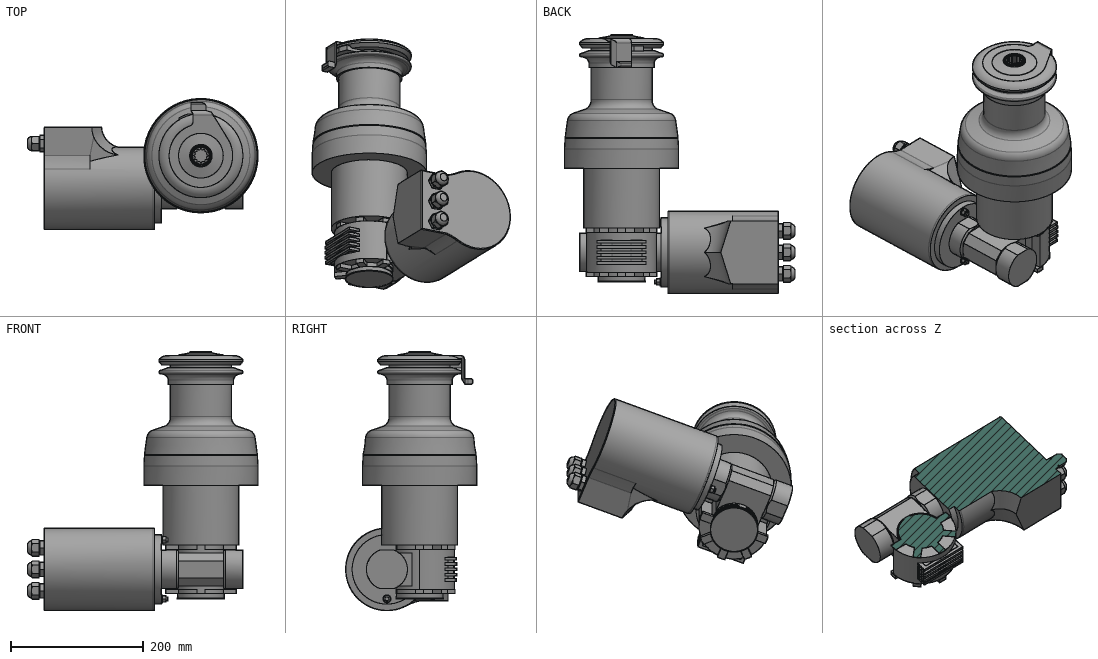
import cadquery as cq
import math


TOP_Z = 329.3
CAP_TOP_R = 31.72 / 2
CAP_RIM_R = 17.0
CAP_RIM_Z = 327.2
CAP_BASE_R = 33.8
CAP_STEP = 0.6
DISC_TOP_Z = 323.0
PLATE_TOP_Z = DISC_TOP_Z + 0.5
DISC_FLAT_R = 48.0
DISC_R = 127 / 2
DISC_BOTTOM_Z = 308.5
NECK_R = 93 / 2
FLANGE_EDGE_Z = 298.5
COLLAR_R = 49.5
COLLAR_BOTTOM_Z = 279.0
FLARE_TOP_Z = 231.0
FLARE_R = 53.5
FLARE_Z = 217.0
SHOULDER_R = 74.0
SHOULDER_Z = 210.0
BELL_R = 82.0
BELL_Z = 199.0
SKIRT_TOP_R = 85.5
SKIRT_TOP_Z = 173.5
SKIRT_R = 173 / 2
SKIRT_LOWER_Z = 156.5
SKIRT_BOTTOM_Z = 127.0
SEAM_WIDTH = 1.2
SEAM_DEPTH = 0.7
BARREL_R = 115 / 2
BARREL_BOTTOM_Z = 36.7

SOCKET_POINTS = 12
SOCKET_OUTER_R = 22 / 2
SOCKET_INNER_R = 17.5 / 2
SOCKET_DEPTH = 25.0
NOTCH_COUNT = 36
NOTCH_INNER_R = 12.5
NOTCH_WIDTH = 0.8
NOTCH_DEPTH = 1.8

ARM_LEFT_X = -12.0
ARM_RIGHT_X = 16.0
ARM_OUTER_Y = 68.2
ARM_THICKNESS = 5.0
ARM_BEND_R = 7.0
ARM_TANGENT_ANGLE = 31.4
ARM_ROOT_FILLET = 8.0
ARM_ROOT_X = ARM_LEFT_X - ARM_ROOT_FILLET
HOOK_CORNER_R = 7.0
HOOK_LEFT_X = -15.0
HOOK_RIGHT_X = 8.0
HOOK_TIP_Y = 80.3
HOOK_TOP_Z = 288.2
HOOK_BOTTOM_Z = 279.4
HOOK_CHAMFER = 2.0
GUIDE_LEFT_X = -33.0
GUIDE_R = 66.0
GUIDE_START_Y = 33.0
GUIDE_BOTTOM_Z = 304.0
GUIDE_TOP_Z = 312.0

MOTOR_R = 125 / 2
MOTOR_Y = MOTOR_R - 111.98
MOTOR_LEFT_X = -237.4
MOTOR_RIGHT_X = -69.9
MOTOR_END_CHAMFER = 1.4
MOTOR_RIGHT_CHAMFER = (2.8, 0.5)
MOTOR_FLANGE_R = 105 / 2
GEAR_LEFT_X = -59.8

NUT_PITCH_R = 44.5
WASHER_D = 12.0
WASHER_THICKNESS = 1.5
NUT_FLATS = 10.0
NUT_HEIGHT = 5.5
STUD_D = 6.0
STUD_LENGTH = 9.8

BOX_BACK_Y = 43.0
BOX_HALF_HEIGHT = 47.7
BOX_BLEND_R = 77.6
BOX_BLEND_Y = -20.0
BOX_FLAT_END_X = -167.6
BOX_FLAT_END_BACK_X = -159.0
BOX_END_X = -116.0
SCOOP_X = -117.0
SCOOP_Y = 45.0
SCOOP_R = 33.0
SCOOP_FLARE_R = 48.0
RAMP_ANGLE = 15.0

GLAND_Y = 18.3
GLAND_SPACING = 32.5
GLAND_FLATS = 22.0
GLAND_TIP_X = -262.2
GLAND_DOME_X = -256.3
GLAND_CAP_BACK_X = -244.6
GLAND_BASE_X = -243.4
GLAND_TIP_R = 12 / 2
GLAND_DOME_BULGE = 0.28
GLAND_NECK_R = 17.5 / 2

WORM_R = 31.0
WORM_FLAT_Z = 29.0
WORM_RIGHT_X = 63.5
WORM_INNER_CHAMFER = 3.0
BLOCK_HALF_X = 34.0
BLOCK_FRONT_Y = -77.0
BLOCK_HALF_Z = 25.0
BLOCK_CHAMFER = 12.0
HUB_R = 72 / 2
HUB_CORE_R = 34.4
HUB_FOOT_R = 35.4
HUB_RIM_HEIGHT = 1.5
HUB_BOTTOM_Z = -44.5
LUG_ANGLES = (0, 45, 90, 135, 180)
LUG_R = 107 / 2
CASE_R = 53.0
LUG_WIDTH = 12.0
LUG_INNER_Z = 30.2
LUG_OUTER_Z = BARREL_BOTTOM_Z
REAR_HALF_X = 31.0
REAR_Y = 51.0
REAR_HALF_Z = 18.5
FIN_SIDE_COUNT = 2
FIN_PITCH = 8.0
FIN_THICKNESS = 4.0
FIN_HALF_X = 37.0
FIN_START_Y = 5.0
OUTER_FIN_Y = 55.4
INNER_FIN_Y = 56.4


def x_cylinder(radius, x_start, x_end, y=MOTOR_Y, z=0.0):
    """Solid cylinder along X."""
    return cq.Workplane("YZ", origin=(x_start, y, z)).circle(radius).extrude(x_end - x_start)


def z_cylinder(radius, z_start, z_end):
    """Solid cylinder on the Z axis."""
    return cq.Workplane("XY", origin=(0, 0, z_start)).circle(radius).extrude(z_end - z_start)


def x_hexagon(flats, x_start, x_end, y, z, turn=0.0):
    """Hexagonal prism along X, its corners on the Y sides unless turned."""
    corner_d = flats / math.cos(math.pi / 6)
    prism = cq.Workplane("YZ", origin=(x_start, y, z)).polygon(6, corner_d).extrude(x_end - x_start)
    return prism.rotate((0, y, z), (1, y, z), turn)


def box_between(x0, x1, y0, y1, z0, z1):
    """Block between two opposite corners."""
    return cq.Workplane("XY").box(x1 - x0, y1 - y0, z1 - z0, centered=False).translate((x0, y0, z0))


def make_drum():
    """Turned body from the barrel foot up to the cap."""
    outline = (
        cq.Workplane("XZ")
        .moveTo(0, BARREL_BOTTOM_Z)
        .lineTo(BARREL_R, BARREL_BOTTOM_Z)
        .lineTo(BARREL_R, SKIRT_BOTTOM_Z)
        .lineTo(SKIRT_R, SKIRT_BOTTOM_Z)
        .lineTo(SKIRT_R, SKIRT_LOWER_Z)
        .lineTo(SKIRT_TOP_R, SKIRT_TOP_Z - SEAM_WIDTH)
        .lineTo(SKIRT_TOP_R - SEAM_DEPTH, SKIRT_TOP_Z - SEAM_WIDTH)
        .lineTo(SKIRT_TOP_R - SEAM_DEPTH, SKIRT_TOP_Z)
        .lineTo(SKIRT_TOP_R, SKIRT_TOP_Z)
        .lineTo(BELL_R, BELL_Z)
        .threePointArc((80, 204.5), (SHOULDER_R, SHOULDER_Z))
        .lineTo(FLARE_R, FLARE_Z)
        .threePointArc((48.5, 222), (NECK_R, FLARE_TOP_Z))
        .lineTo(NECK_R, COLLAR_BOTTOM_Z)
        .lineTo(COLLAR_R, COLLAR_BOTTOM_Z)
        .lineTo(COLLAR_R, 286.5)
        .threePointArc((51.8, 291.5), (57.5, 294.8))
        .lineTo(61, 295.5)
        .threePointArc((DISC_R, FLANGE_EDGE_Z), (62, 300.5))
        .lineTo(54, 303.2)
        .lineTo(49, 305.4)
        .lineTo(NECK_R, 305.4)
        .lineTo(NECK_R, DISC_BOTTOM_Z)
        .lineTo(58.7, DISC_BOTTOM_Z)
        .lineTo(DISC_R, 314)
        .lineTo(DISC_R, 317)
        .threePointArc((57.5, 321.6), (DISC_FLAT_R, DISC_TOP_Z))
        .lineTo(DISC_FLAT_R, PLATE_TOP_Z)
        .lineTo(CAP_BASE_R, PLATE_TOP_Z)
        .lineTo(CAP_BASE_R, PLATE_TOP_Z + CAP_STEP)
        .lineTo(CAP_RIM_R, CAP_RIM_Z)
        .lineTo(CAP_TOP_R, TOP_Z)
        .lineTo(0, TOP_Z)
        .close()
    )
    return outline.revolve(360, (0, 0, 0), (0, 1, 0))


def socket_tool():
    """Star-shaped handle socket with fine radial notches around its mouth."""
    star = []
    for index in range(2 * SOCKET_POINTS):
        radius = SOCKET_INNER_R if index % 2 else SOCKET_OUTER_R
        angle = math.pi * index / SOCKET_POINTS
        star.append((radius * math.cos(angle), radius * math.sin(angle)))
    tool = cq.Workplane("XY", origin=(0, 0, TOP_Z)).polyline(star).close().extrude(-SOCKET_DEPTH)
    half_width = NOTCH_WIDTH / 2
    notch_floor = TOP_Z - NOTCH_DEPTH
    notch = box_between(NOTCH_INNER_R, CAP_RIM_R, -half_width, half_width, notch_floor, TOP_Z)
    for index in range(NOTCH_COUNT):
        tool = tool.union(notch.rotate((0, 0, 0), (0, 0, 1), index * 360 / NOTCH_COUNT))
    return tool


def make_arm():
    """Bent stripper arm: flat top plate, drop and outward hook, with the guide under the disc."""
    inner_y = ARM_OUTER_Y - ARM_THICKNESS
    side = (
        cq.Workplane("YZ", origin=(-DISC_R, 0, 0))
        .moveTo(0, PLATE_TOP_Z)
        .lineTo(ARM_OUTER_Y - ARM_BEND_R, PLATE_TOP_Z)
        .radiusArc((ARM_OUTER_Y, PLATE_TOP_Z - ARM_BEND_R), ARM_BEND_R)
        .lineTo(ARM_OUTER_Y, HOOK_TOP_Z)
        .lineTo(HOOK_TIP_Y, HOOK_TOP_Z)
        .lineTo(HOOK_TIP_Y, HOOK_BOTTOM_Z)
        .lineTo(ARM_OUTER_Y, HOOK_BOTTOM_Z)
        .lineTo(inner_y, HOOK_TOP_Z)
        .lineTo(inner_y, PLATE_TOP_Z - ARM_THICKNESS)
        .lineTo(0, PLATE_TOP_Z - ARM_THICKNESS)
        .close()
        .extrude(2 * DISC_R)
        .edges("|X and >Y")
        .chamfer(HOOK_CHAMFER)
    )
    root_y = math.sqrt(DISC_FLAT_R**2 - ARM_ROOT_X**2)
    tangent = math.radians(ARM_TANGENT_ANGLE)
    tangent_point = (DISC_FLAT_R * math.cos(tangent), DISC_FLAT_R * math.sin(tangent))
    plan = (
        cq.Workplane("XY", origin=(0, 0, HOOK_BOTTOM_Z))
        .moveTo(ARM_ROOT_X, 0)
        .lineTo(DISC_FLAT_R, 0)
        .lineTo(*tangent_point)
        .lineTo(ARM_RIGHT_X, ARM_OUTER_Y - ARM_THICKNESS / 2)
        .lineTo(HOOK_RIGHT_X, ARM_OUTER_Y)
        .lineTo(HOOK_RIGHT_X, HOOK_TIP_Y - HOOK_CORNER_R)
        .radiusArc((HOOK_RIGHT_X - HOOK_CORNER_R, HOOK_TIP_Y), -HOOK_CORNER_R)
        .lineTo(HOOK_LEFT_X, HOOK_TIP_Y)
        .lineTo(HOOK_LEFT_X, ARM_OUTER_Y)
        .lineTo(ARM_LEFT_X, inner_y)
        .lineTo(ARM_LEFT_X, root_y + ARM_ROOT_FILLET)
        .radiusArc((ARM_ROOT_X, root_y), ARM_ROOT_FILLET)
        .close()
        .extrude(TOP_Z - HOOK_BOTTOM_Z)
    )
    guide = box_between(GUIDE_LEFT_X, HOOK_RIGHT_X, GUIDE_START_Y, inner_y, GUIDE_BOTTOM_Z, GUIDE_TOP_Z)
    guide = guide.intersect(z_cylinder(GUIDE_R, GUIDE_BOTTOM_Z, GUIDE_TOP_Z))
    return side.intersect(plan).union(guide)


def housing_outline(start_x, front_point):
    """Section of the motor with the terminal box, closed on its -Y side through front_point."""
    blend_z = math.sqrt(MOTOR_R**2 - (BOX_BLEND_Y - MOTOR_Y) ** 2)
    return (
        cq.Workplane("YZ", origin=(start_x, 0, 0))
        .moveTo(BOX_BACK_Y, -BOX_HALF_HEIGHT)
        .lineTo(BOX_BACK_Y, BOX_HALF_HEIGHT)
        .lineTo(0, BOX_HALF_HEIGHT)
        .radiusArc((BOX_BLEND_Y, blend_z), BOX_BLEND_R)
        .threePointArc(front_point, (BOX_BLEND_Y, -blend_z))
        .radiusArc((0, -BOX_HALF_HEIGHT), BOX_BLEND_R)
        .close()
    )


def make_motor():
    """Motor and terminal box in one section, then the plain motor, its flange and two nuts."""
    rim_x = MOTOR_LEFT_X + MOTOR_END_CHAMFER
    front_point = (MOTOR_Y - MOTOR_R, 0)
    rim = housing_outline(rim_x, front_point).extrude(-MOTOR_END_CHAMFER, taper=45)
    housing = housing_outline(rim_x, front_point).extrude(BOX_FLAT_END_X - rim_x)
    housing = housing.union(rim)
    motor = x_cylinder(MOTOR_R, BOX_FLAT_END_X, MOTOR_RIGHT_X).faces(">X").chamfer(*MOTOR_RIGHT_CHAMFER)
    motor = motor.union(housing).union(make_box_end())
    motor = motor.union(x_cylinder(MOTOR_FLANGE_R, MOTOR_RIGHT_X, GEAR_LEFT_X))
    for z in (NUT_PITCH_R, -NUT_PITCH_R):
        washer_end = GEAR_LEFT_X + WASHER_THICKNESS
        motor = motor.union(x_cylinder(WASHER_D / 2, GEAR_LEFT_X, washer_end, z=z))
        motor = motor.union(x_hexagon(NUT_FLATS, washer_end, washer_end + NUT_HEIGHT, MOTOR_Y, z))
        motor = motor.union(x_cylinder(STUD_D / 2, GEAR_LEFT_X, GEAR_LEFT_X + STUD_LENGTH, z=z))
    return motor


def make_box_end():
    """End of the terminal box, ramped down and scooped out towards the motor."""
    core_point = (MOTOR_Y, 0)
    box = housing_outline(BOX_FLAT_END_X, core_point).extrude(BOX_END_X - BOX_FLAT_END_X)
    scoop = (
        cq.Workplane("XY", origin=(SCOOP_X, SCOOP_Y, 0))
        .circle(SCOOP_R)
        .workplane(offset=BOX_HALF_HEIGHT)
        .circle(SCOOP_FLARE_R)
        .loft(ruled=True)
    )
    ramp_length = 2 * (BOX_END_X - BOX_FLAT_END_X)
    ramp_drop = ramp_length * math.tan(math.radians(RAMP_ANGLE))
    ramp = (
        cq.Workplane("XZ", origin=(BOX_FLAT_END_X, 0, BOX_HALF_HEIGHT))
        .polyline([(0, 0), (ramp_length, -ramp_drop), (ramp_length, BOX_HALF_HEIGHT), (0, BOX_HALF_HEIGHT)])
        .close()
        .extrude(2 * BOX_HALF_HEIGHT, both=True)
    )
    skew = math.degrees(math.atan2(BOX_FLAT_END_X - BOX_FLAT_END_BACK_X, BOX_BACK_Y))
    ramp = ramp.rotate((BOX_FLAT_END_X, 0, 0), (BOX_FLAT_END_X, 0, 1), skew)
    for tool in (scoop, ramp):
        box = box.cut(tool).cut(tool.mirror("XY"))
    return box


def make_gland(z):
    """Cable gland: domed hexagonal cap, neck and a base nut turned by 90 degrees."""
    flat_r = GLAND_FLATS / 2
    corner_r = flat_r / math.cos(math.pi / 6)
    cap = x_hexagon(GLAND_FLATS, GLAND_TIP_X, GLAND_CAP_BACK_X, GLAND_Y, z, turn=90)
    dome_length = GLAND_DOME_X - GLAND_TIP_X
    dome_mid = (GLAND_TIP_X + GLAND_DOME_BULGE * dome_length, (flat_r + GLAND_TIP_R) / 2)
    envelope = (
        cq.Workplane("XY")
        .moveTo(GLAND_TIP_X, 0)
        .lineTo(GLAND_TIP_X, GLAND_TIP_R)
        .threePointArc(dome_mid, (GLAND_DOME_X, flat_r))
        .lineTo(GLAND_DOME_X + corner_r - flat_r, corner_r)
        .lineTo(GLAND_CAP_BACK_X, corner_r)
        .lineTo(GLAND_CAP_BACK_X, 0)
        .close()
        .revolve(360, (0, 0, 0), (1, 0, 0))
        .translate((0, GLAND_Y, z))
    )
    neck = x_cylinder(GLAND_NECK_R, GLAND_CAP_BACK_X, GLAND_BASE_X, GLAND_Y, z)
    base = x_hexagon(GLAND_FLATS, GLAND_BASE_X, MOTOR_LEFT_X, GLAND_Y, z)
    return cap.intersect(envelope).union(neck).union(base)


def make_lug_ring():
    """Radial lugs above the gearbox: long ones to the sides and rear, a short one in front."""
    height = LUG_OUTER_Z - LUG_INNER_Z
    front_bar = box_between(-LUG_WIDTH / 2, LUG_WIDTH / 2, -LUG_R, 0, 0, height)
    lugs = cq.Workplane("XY").circle(HUB_R).extrude(height).intersect(front_bar)
    disc = cq.Workplane("XY").circle(LUG_R).extrude(height)
    bar = box_between(0, 2 * LUG_R, -LUG_WIDTH / 2, LUG_WIDTH / 2, 0, height).intersect(disc)
    for angle in LUG_ANGLES:
        lugs = lugs.union(bar.rotate((0, 0, 0), (0, 0, 1), angle))
    return lugs.translate((0, 0, LUG_INNER_Z))


def make_gearbox():
    """Worm housing along X, bevelled block, hub with lug rings and the finned wheel case behind."""
    left = x_cylinder(WORM_R, GEAR_LEFT_X, -BLOCK_HALF_X).faces(">X").chamfer(WORM_INNER_CHAMFER)
    right = x_cylinder(WORM_R, BLOCK_HALF_X, WORM_RIGHT_X).faces("<X").chamfer(WORM_INNER_CHAMFER)
    flats = box_between(GEAR_LEFT_X, WORM_RIGHT_X, -SKIRT_R, 0, -WORM_FLAT_Z, WORM_FLAT_Z)
    block = box_between(-BLOCK_HALF_X, BLOCK_HALF_X, BLOCK_FRONT_Y, 0, -BLOCK_HALF_Z, BLOCK_HALF_Z)
    block = block.edges("|X and <Y").chamfer(BLOCK_CHAMFER)
    hub = z_cylinder(HUB_R, -LUG_INNER_Z, LUG_INNER_Z)
    core = z_cylinder(HUB_CORE_R, -LUG_OUTER_Z, LUG_OUTER_Z)
    foot = z_cylinder(HUB_FOOT_R, HUB_BOTTOM_Z, -LUG_OUTER_Z)
    rim = z_cylinder(HUB_R, HUB_BOTTOM_Z, HUB_BOTTOM_Z + HUB_RIM_HEIGHT)
    case = z_cylinder(CASE_R, -LUG_INNER_Z, LUG_INNER_Z)
    case = case.intersect(box_between(-LUG_R, LUG_R, 0, LUG_R, -LUG_INNER_Z, LUG_INNER_Z))
    rear = box_between(-REAR_HALF_X, REAR_HALF_X, 0, REAR_Y, -REAR_HALF_Z, REAR_HALF_Z)
    lugs = make_lug_ring()
    gearbox = left.union(right).intersect(flats).union(block)
    for piece in (hub, core, foot, rim, case, rear, lugs, lugs.mirror("XY")):
        gearbox = gearbox.union(piece)
    for index in range(-FIN_SIDE_COUNT, FIN_SIDE_COUNT + 1):
        fin_y = OUTER_FIN_Y if abs(index) == FIN_SIDE_COUNT else INNER_FIN_Y
        fin_z = index * FIN_PITCH
        fin_half = FIN_THICKNESS / 2
        fin = box_between(-FIN_HALF_X, FIN_HALF_X, FIN_START_Y, fin_y, fin_z - fin_half, fin_z + fin_half)
        gearbox = gearbox.union(fin)
    return gearbox


result = make_drum().union(make_arm()).cut(socket_tool())
result = result.union(make_gearbox()).union(make_motor())
for gland_z in (-GLAND_SPACING, 0, GLAND_SPACING):
    result = result.union(make_gland(gland_z))